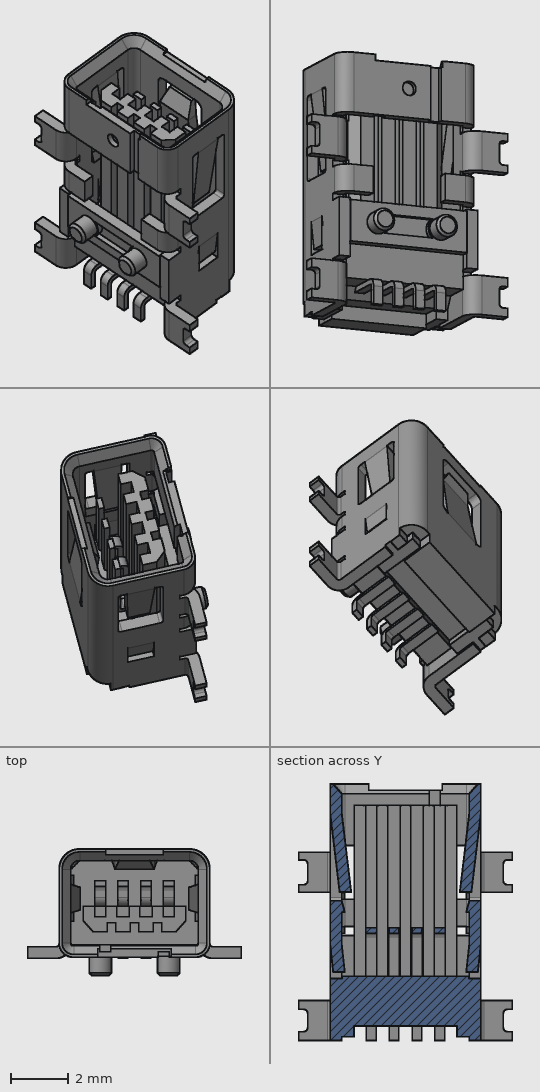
import cadquery as cq
import math


ARC_MID = math.sqrt(0.5)
ARC_SAG = 1 - ARC_MID

HEIGHT = 9.0
PAD_SPAN = 7.5

WALL = 0.41
SHELL_HALF = 2.65
SHELL_FRONT = 0.04
SHELL_BACK = 3.84
BACK_RADIUS = 0.72
FRONT_RADIUS = 0.51
BEND_RADIUS = FRONT_RADIUS - WALL
INNER_HALF = SHELL_HALF - WALL
INNER_FRONT = SHELL_FRONT + WALL
INNER_BACK = SHELL_BACK - WALL
LEAD_IN_WIDTH = 0.31
LEAD_IN_DEPTH = 0.34

BAND_BOTTOM = 6.84
RELIEF = 0.23
RELIEF_BACK = 0.69
PAD_HEIGHT = 1.41
UPPER_PAD_BOTTOM = BAND_BOTTOM - RELIEF - PAD_HEIGHT
HOOK_TOP = UPPER_PAD_BOTTOM - RELIEF
HOOK_BOTTOM = 4.0
HOOK_INNER_X = 1.38
FLANGE_TOP = HOOK_BOTTOM - RELIEF
FLANGE_BOTTOM = PAD_HEIGHT + RELIEF
FLANGE_FRONT = 0.1

NOTCH_DEPTH = 0.315
NOTCH_RADIUS = 0.135
UPPER_NOTCH = 0.86
LOWER_NOTCH = 0.77

LAP = WALL / 2
SEAM_INNER_X = 0.83
SEAM_OUTER_X = 1.22
SEAM_HOLE_RADIUS = 0.25
SEAM_HOLE_Z = 7.89

BACK_NOTCH_HALF = 1.01
BACK_NOTCH_DEPTH = 0.11
FRONT_NOTCH_HALF = 1.29
FRONT_NOTCH_DEPTH = 0.22

WINDOW_TOP = 7.98
WINDOW_BOTTOM = 4.905
WINDOW_RADIUS = 0.13
SIDE_WINDOW_Y = (1.305, 2.92)
BACK_WINDOW_HALF = 1.04
BACK_WINDOW_BOTTOM = 3.96
BACK_WINDOW_RADIUS = 0.27
SIDE_SPRING_BOTTOM = 5.2
SIDE_SPRING_INSET = 0.33
SIDE_SPRING_TOP_Y = (1.6, 2.6)
SIDE_SPRING_BOTTOM_Y = (1.7, 2.49)
LEAF_TIP_Z = 7.78
LEAF_KNEE_Z = 7.17
LEAF_KNEE_Y = 3.13
LEAF_TIP_Y = (3.465, 3.67)
LEAF_TIP_HALF = 0.52
LEAF_KNEE_HALF = 0.68
LEAF_ROOT_HALF = 0.79
SILL_WIDTH = 0.11
SILL_HEIGHT = 0.405

LANCE_Y = (1.63, 2.57)
LANCE_WINDOW_Z = (2.19, 3.39)
LANCE_BOTTOM = 2.4
LANCE_INSET = 0.11

BACK_EDGE_Z = 0.65
SIDE_STEP_Z = 0.11
SIDE_STEP_Y = 3.19
EDGE_SLOT_Y = (2.52, 2.76)
EDGE_SLOT_Z = 0.135

FLOOR_TOP = 2.26
BASE_CHAMFER = 0.31
FACE_BOTTOM = 0.95
RAMP_BOTTOM = 0.51
RAMP_FRONT = 1.53
RAMP_BACK = 1.8
CHEEK_BOTTOM = 0.135
FACE_TOP = 3.69
FACE_STEP_Z = 2.2
FACE_Y = 0.07
LOWER_FACE_Y = 0.44
FACE_THICKNESS = 0.405
FOOT_HALF = 1.8
FOOT_FRONT = 2.69

TONGUE_TOP = 8.24
TONGUE_HALF = 1.8
TONGUE_FRONT_HALF = 1.46
TONGUE_BACK = 1.84
TONGUE_FRONT = 0.945
TONGUE_CORNER_Y = 1.32
REAR_GROOVE_DEPTH = 0.38
FRONT_GROOVE_DEPTH = 0.31
FRONT_GROOVE_WIDTH = 0.3

PEG_X = 1.2
PEG_Z = 2.94
PEG_RADIUS = 0.4
PEG_TIP_Y = -0.6
PEG_CHAMFER = 0.1
PEG_BOSS_RADIUS = 0.45
FACE_GROOVE_HEIGHT = 0.69
FACE_GROOVE_DEPTH = 0.2

PITCH = 0.8
CONTACT_THICKNESS = 0.2
INNER_CONTACT = (PITCH / 2, 0.36, 0.34, 0.43)
OUTER_CONTACT = (PITCH * 1.5, 0.4, 0.36, 0.4)
CONTACT_TOP = 7.47
CONTACT_BACK = 2.73
CONTACT_SHELF_TOP = 3.96
SHELF_RADIUS = 0.315
TAIL_RADIUS = 0.31
TAIL_REACH = TONGUE_BACK + CONTACT_THICKNESS


def box(x_range, y_range, z_range):
    """Axis-aligned block from its three coordinate ranges."""
    size = [high - low for low, high in (x_range, y_range, z_range)]
    corner = (x_range[0], y_range[0], z_range[0])
    return cq.Workplane("XY").box(*size, centered=False).translate(corner)


def prism_xz(points, y_range):
    """Polygon in X and Z, extruded along Y."""
    plane = cq.Workplane("XZ", origin=(0, y_range[1], 0))
    return plane.polyline(points).close().extrude(y_range[1] - y_range[0])


def prism_yz(points, half_width):
    """Polygon in Y and Z, extruded evenly to both sides of X = 0."""
    return cq.Workplane("YZ").polyline(points).close().extrude(half_width, both=True)


def both_sides(body):
    """The body together with its mirror image across X = 0."""
    return body.union(body.mirror("YZ"))


def shell_outline(plane, inset):
    """Rounded section of the shell, moved inward by the inset."""
    half = SHELL_HALF - inset
    front = SHELL_FRONT + inset
    back = SHELL_BACK - inset
    r_back = BACK_RADIUS - inset
    r_front = FRONT_RADIUS - inset
    mid_back = r_back * ARC_SAG
    mid_front = r_front * ARC_SAG
    return (
        plane.moveTo(-half + r_front, front)
        .lineTo(half - r_front, front)
        .threePointArc((half - mid_front, front + mid_front), (half, front + r_front))
        .lineTo(half, back - r_back)
        .threePointArc((half - mid_back, back - mid_back), (half - r_back, back))
        .lineTo(-half + r_back, back)
        .threePointArc((-half + mid_back, back - mid_back), (-half, back - r_back))
        .lineTo(-half, front + r_front)
        .threePointArc((-half + mid_front, front + mid_front), (-half + r_front, front))
        .close()
    )


def shell_tube():
    """Drawn tube with a flared mouth and notched rim."""
    tube = shell_outline(cq.Workplane("XY"), 0).extrude(HEIGHT)
    tube = tube.cut(shell_outline(cq.Workplane("XY"), WALL).extrude(HEIGHT))
    mouth = shell_outline(cq.Workplane("XY", origin=(0, 0, HEIGHT - LEAD_IN_DEPTH)), WALL)
    mouth = shell_outline(mouth.workplane(offset=LEAD_IN_DEPTH), WALL - LEAD_IN_WIDTH)
    tube = tube.cut(mouth.loft(ruled=True, combine=True))
    back_notch = box(
        (-BACK_NOTCH_HALF, BACK_NOTCH_HALF),
        (INNER_BACK, SHELL_BACK),
        (HEIGHT - BACK_NOTCH_DEPTH, HEIGHT),
    )
    front_notch = box(
        (-FRONT_NOTCH_HALF, FRONT_NOTCH_HALF),
        (SHELL_FRONT, INNER_FRONT),
        (HEIGHT - FRONT_NOTCH_DEPTH, HEIGHT),
    )
    return tube.cut(back_notch).cut(front_notch)


def cut_seam(shell):
    """Lap joint grooves in the front band and the blind staking hole."""
    z_range = (BAND_BOTTOM, HEIGHT)
    mid = SHELL_FRONT + LAP
    outer_groove = box((SEAM_INNER_X, SEAM_OUTER_X), (SHELL_FRONT, mid), z_range)
    inner_groove = box((-SEAM_OUTER_X, -SEAM_INNER_X), (mid, INNER_FRONT), z_range)
    hole = (
        cq.Workplane("XZ", origin=(0, mid, SEAM_HOLE_Z))
        .circle(SEAM_HOLE_RADIUS)
        .extrude(LAP)
    )
    return shell.cut(outer_groove).cut(inner_groove).cut(hole)


def open_front(shell):
    """Remove the front wall below the band, leaving only the two hook tabs."""
    y_range = (SHELL_FRONT, INNER_FRONT)
    full = (-INNER_HALF, INNER_HALF)
    between_hooks = (-HOOK_INNER_X, HOOK_INNER_X)
    shell = shell.cut(box(full, y_range, (HOOK_TOP, BAND_BOTTOM)))
    shell = shell.cut(box(between_hooks, y_range, (HOOK_BOTTOM, HOOK_TOP)))
    shell = shell.cut(box(full, y_range, (0, HOOK_BOTTOM)))
    side_y = (SHELL_FRONT, RELIEF_BACK)
    side_x = (INNER_HALF, SHELL_HALF)
    for z_range in ((HOOK_TOP, BAND_BOTTOM), (0, HOOK_BOTTOM)):
        shell = shell.cut(both_sides(box(side_x, side_y, z_range)))
    corner = (INNER_FRONT, FRONT_RADIUS + SHELL_FRONT)
    pad_z = (UPPER_PAD_BOTTOM, UPPER_PAD_BOTTOM + PAD_HEIGHT)
    for z_range in (pad_z, (0, FLANGE_TOP)):
        shell = shell.cut(box(full, corner, z_range))
    flange = box(side_x, (FLANGE_FRONT, RELIEF_BACK), (FLANGE_BOTTOM, FLANGE_TOP))
    return shell.union(both_sides(flange))


def solder_pad(bottom, notch_height):
    """Pair of outward-bent pads, each with a rounded notch in its end."""
    bend_x = INNER_HALF + FRONT_RADIUS
    end_x = PAD_SPAN / 2
    pad = (
        cq.Workplane("XY", origin=(0, 0, bottom))
        .moveTo(INNER_HALF, RELIEF_BACK)
        .lineTo(INNER_HALF, FRONT_RADIUS)
        .threePointArc(
            (bend_x - FRONT_RADIUS * ARC_MID, FRONT_RADIUS * ARC_SAG),
            (bend_x, 0),
        )
        .lineTo(end_x, 0)
        .lineTo(end_x, WALL)
        .lineTo(bend_x, WALL)
        .threePointArc(
            (bend_x - BEND_RADIUS * ARC_MID, FRONT_RADIUS - BEND_RADIUS * ARC_MID),
            (SHELL_HALF, FRONT_RADIUS),
        )
        .lineTo(SHELL_HALF, RELIEF_BACK)
        .close()
        .extrude(PAD_HEIGHT)
    )
    low = bottom + (PAD_HEIGHT - notch_height) / 2
    notch = box((end_x - NOTCH_DEPTH, end_x), (0, WALL), (low, low + notch_height))
    notch = notch.edges("|Y and <X").fillet(NOTCH_RADIUS)
    return both_sides(pad.cut(notch))


def add_side_springs(shell):
    """Window in each side with a tapered spring hung from its top edge and a sloped sill."""
    window = box((INNER_HALF, SHELL_HALF), SIDE_WINDOW_Y, (WINDOW_BOTTOM, WINDOW_TOP))
    window = window.edges("|X").fillet(WINDOW_RADIUS)
    lean = prism_xz(
        [
            (INNER_HALF, WINDOW_TOP),
            (SHELL_HALF, WINDOW_TOP),
            (SHELL_HALF - SIDE_SPRING_INSET, SIDE_SPRING_BOTTOM),
            (INNER_HALF - SIDE_SPRING_INSET, SIDE_SPRING_BOTTOM),
        ],
        SIDE_WINDOW_Y,
    )
    taper = prism_yz(
        [
            (SIDE_SPRING_TOP_Y[0], WINDOW_TOP),
            (SIDE_SPRING_TOP_Y[1], WINDOW_TOP),
            (SIDE_SPRING_BOTTOM_Y[1], SIDE_SPRING_BOTTOM),
            (SIDE_SPRING_BOTTOM_Y[0], SIDE_SPRING_BOTTOM),
        ],
        SHELL_HALF,
    )
    sill = prism_xz(
        [
            (INNER_HALF, WINDOW_BOTTOM),
            (INNER_HALF - SILL_WIDTH, WINDOW_BOTTOM - SILL_HEIGHT),
            (INNER_HALF, WINDOW_BOTTOM - SILL_HEIGHT),
        ],
        SIDE_WINDOW_Y,
    )
    shell = shell.cut(both_sides(window))
    return shell.union(both_sides(lean.intersect(taper))).union(both_sides(sill))


def add_back_leaf(shell):
    """Window in the back with a kinked leaf rising from its bottom edge."""
    window = box(
        (-BACK_WINDOW_HALF, BACK_WINDOW_HALF),
        (INNER_BACK, SHELL_BACK),
        (BACK_WINDOW_BOTTOM, WINDOW_TOP),
    )
    window = window.edges("|Y").fillet(BACK_WINDOW_RADIUS)
    profile = prism_yz(
        [
            (INNER_BACK, BACK_WINDOW_BOTTOM),
            (LEAF_KNEE_Y, LEAF_KNEE_Z),
            (LEAF_TIP_Y[0], LEAF_TIP_Z),
            (LEAF_TIP_Y[1], LEAF_TIP_Z),
            (LEAF_KNEE_Y + WALL, LEAF_KNEE_Z),
            (SHELL_BACK, BACK_WINDOW_BOTTOM),
        ],
        LEAF_ROOT_HALF,
    )
    taper = prism_xz(
        [
            (-LEAF_ROOT_HALF, BACK_WINDOW_BOTTOM),
            (LEAF_ROOT_HALF, BACK_WINDOW_BOTTOM),
            (LEAF_KNEE_HALF, LEAF_KNEE_Z),
            (LEAF_TIP_HALF, LEAF_TIP_Z),
            (-LEAF_TIP_HALF, LEAF_TIP_Z),
            (-LEAF_KNEE_HALF, LEAF_KNEE_Z),
        ],
        (LEAF_KNEE_Y, SHELL_BACK),
    )
    return shell.cut(window).union(profile.intersect(taper))


def add_lances(shell):
    """Small side windows with a lance bent inward to hold the housing."""
    window = box((INNER_HALF, SHELL_HALF), LANCE_Y, LANCE_WINDOW_Z)
    top = LANCE_WINDOW_Z[1]
    lance = prism_xz(
        [
            (INNER_HALF, top),
            (SHELL_HALF, top),
            (SHELL_HALF - LANCE_INSET, LANCE_BOTTOM),
            (INNER_HALF - LANCE_INSET, LANCE_BOTTOM),
        ],
        LANCE_Y,
    )
    return shell.cut(both_sides(window)).union(both_sides(lance))


def trim_bottom(shell):
    """Stepped bottom edge: high at the back, with a small slot in each side."""
    x_range = (-SHELL_HALF, SHELL_HALF)
    shell = shell.cut(box(x_range, (SIDE_STEP_Y, SHELL_BACK), (0, BACK_EDGE_Z)))
    shell = shell.cut(box(x_range, (EDGE_SLOT_Y[1], SIDE_STEP_Y), (0, SIDE_STEP_Z)))
    return shell.cut(box(x_range, EDGE_SLOT_Y, (0, EDGE_SLOT_Z)))


def make_shell():
    shell = trim_bottom(open_front(cut_seam(shell_tube())))
    shell = add_lances(add_back_leaf(add_side_springs(shell)))
    shell = shell.union(solder_pad(UPPER_PAD_BOTTOM, UPPER_NOTCH))
    return shell.union(solder_pad(0, LOWER_NOTCH))


def make_base():
    """Floor block with its front plate, hollow underside, side cheeks and rear foot."""
    base = prism_yz(
        [
            (RAMP_BACK, RAMP_BOTTOM),
            (RAMP_FRONT, FACE_BOTTOM),
            (LOWER_FACE_Y, FACE_BOTTOM),
            (LOWER_FACE_Y, FACE_STEP_Z),
            (FACE_Y, FACE_STEP_Z),
            (FACE_Y, FACE_TOP),
            (FACE_Y + FACE_THICKNESS, FACE_TOP),
            (FACE_Y + FACE_THICKNESS, FLOOR_TOP),
            (INNER_BACK, FLOOR_TOP),
            (INNER_BACK, RAMP_BOTTOM),
        ],
        INNER_HALF,
    )
    base = base.edges("|Z and >Y").chamfer(BASE_CHAMFER)
    cheek = box((FOOT_HALF, INNER_HALF), (RAMP_BACK, INNER_BACK), (CHEEK_BOTTOM, BACK_EDGE_Z))
    foot = box((-FOOT_HALF, FOOT_HALF), (FOOT_FRONT, SHELL_BACK), (0, BACK_EDGE_Z))
    return base.union(both_sides(cheek)).union(foot)


def add_pegs(base):
    """Two locating pegs joined by a shallow groove in the front plate."""
    plate = cq.Workplane("XZ", origin=(0, FACE_Y + FACE_GROOVE_DEPTH, 0))
    centres = [(-PEG_X, PEG_Z), (PEG_X, PEG_Z)]
    groove = plate.center(0, PEG_Z).rect(2 * PEG_X, FACE_GROOVE_HEIGHT).extrude(FACE_GROOVE_DEPTH)
    groove = groove.cut(plate.pushPoints(centres).circle(PEG_BOSS_RADIUS).extrude(FACE_GROOVE_DEPTH))
    pegs = plate.pushPoints(centres).circle(PEG_RADIUS).extrude(FACE_Y + FACE_GROOVE_DEPTH - PEG_TIP_Y)
    pegs = pegs.faces("<Y").chamfer(PEG_CHAMFER)
    return base.cut(groove).union(pegs)


def make_tongue():
    """Keyed tongue, grooved behind for the contacts and in front between them."""
    tongue = (
        cq.Workplane("XY", origin=(0, 0, FACE_BOTTOM))
        .polyline(
            [
                (-TONGUE_HALF, TONGUE_BACK),
                (-TONGUE_HALF, TONGUE_CORNER_Y),
                (-TONGUE_FRONT_HALF, TONGUE_FRONT),
                (TONGUE_FRONT_HALF, TONGUE_FRONT),
                (TONGUE_HALF, TONGUE_CORNER_Y),
                (TONGUE_HALF, TONGUE_BACK),
            ]
        )
        .close()
        .extrude(TONGUE_TOP - FACE_BOTTOM)
    )
    z_range = (FLOOR_TOP, TONGUE_TOP)
    for centre, _, _, width in (INNER_CONTACT, OUTER_CONTACT):
        x_range = (centre - width / 2, centre + width / 2)
        groove = box(x_range, (TONGUE_BACK - REAR_GROOVE_DEPTH, TONGUE_BACK), z_range)
        tongue = tongue.cut(both_sides(groove))
    for centre in (-PITCH, 0, PITCH):
        x_range = (centre - FRONT_GROOVE_WIDTH / 2, centre + FRONT_GROOVE_WIDTH / 2)
        groove = box(x_range, (TONGUE_FRONT, TONGUE_FRONT + FRONT_GROOVE_DEPTH), z_range)
        tongue = tongue.cut(groove)
    return tongue


def contact_pair(centre, width, tail_width):
    """Mirrored pair of contacts: stepped spring blade above, bent solder tail below."""
    t = CONTACT_THICKNESS
    step_z = CONTACT_SHELF_TOP
    inner = SHELF_RADIUS - t
    blade = (
        cq.Workplane("YZ")
        .moveTo(TONGUE_BACK, FACE_BOTTOM)
        .lineTo(TONGUE_BACK, step_z - SHELF_RADIUS)
        .threePointArc(
            (TONGUE_BACK + SHELF_RADIUS * ARC_SAG, step_z - SHELF_RADIUS * ARC_SAG),
            (TONGUE_BACK + SHELF_RADIUS, step_z),
        )
        .lineTo(CONTACT_BACK - SHELF_RADIUS, step_z)
        .threePointArc(
            (CONTACT_BACK - t - inner * ARC_SAG, step_z + inner * ARC_SAG),
            (CONTACT_BACK - t, step_z + inner),
        )
        .lineTo(CONTACT_BACK - t, CONTACT_TOP)
        .lineTo(CONTACT_BACK, CONTACT_TOP)
        .lineTo(CONTACT_BACK, step_z + inner)
        .threePointArc(
            (CONTACT_BACK - SHELF_RADIUS * ARC_SAG, step_z - t + SHELF_RADIUS * ARC_SAG),
            (CONTACT_BACK - SHELF_RADIUS, step_z - t),
        )
        .lineTo(TONGUE_BACK + SHELF_RADIUS, step_z - t)
        .threePointArc(
            (TONGUE_BACK + t + inner * ARC_SAG, step_z - t - inner * ARC_SAG),
            (TONGUE_BACK + t, step_z - SHELF_RADIUS),
        )
        .lineTo(TONGUE_BACK + t, FACE_BOTTOM)
        .close()
        .extrude(width / 2, both=True)
    )
    tail = box((-tail_width / 2, tail_width / 2), (0, TAIL_REACH), (0, FACE_BOTTOM))
    tail = tail.edges("|X and <Y and >Z").fillet(TAIL_RADIUS)
    hollow = box((-tail_width / 2, tail_width / 2), (t, TAIL_REACH), (0, FACE_BOTTOM - t))
    hollow = hollow.edges("|X and <Y and >Z").fillet(TAIL_RADIUS - t)
    return both_sides(blade.union(tail.cut(hollow)).translate((centre, 0, 0)))


result = make_shell().union(add_pegs(make_base())).union(make_tongue())
for centre, width, tail_width, _ in (INNER_CONTACT, OUTER_CONTACT):
    result = result.union(contact_pair(centre, width, tail_width))